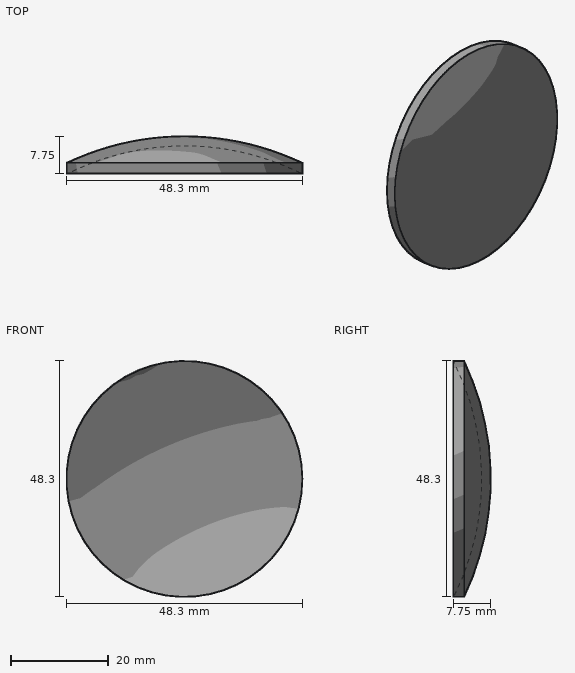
import cadquery as cq

diameter = 48.3
overall_thickness = 7.75
rim_width = 2.2
hollow_depth = 5.8

radius = diameter / 2
dome_height = overall_thickness - rim_width


def sphere_radius(cap_height):
    """Radius of the sphere whose cap spans the lens at the given height."""
    return (radius**2 + cap_height**2) / (2 * cap_height)


def spherical_cap(rim_y, cap_height):
    """Tool sphere that meets the lens edge at rim_y and bulges toward +Y."""
    ball_radius = sphere_radius(cap_height)
    center_y = rim_y + cap_height - ball_radius
    return cq.Workplane("XY").sphere(ball_radius).translate((0, center_y, 0))


blank = cq.Workplane("XZ").circle(radius).extrude(-overall_thickness)

domed = blank.intersect(spherical_cap(rim_width, dome_height))
result = domed.cut(spherical_cap(0, hollow_depth))